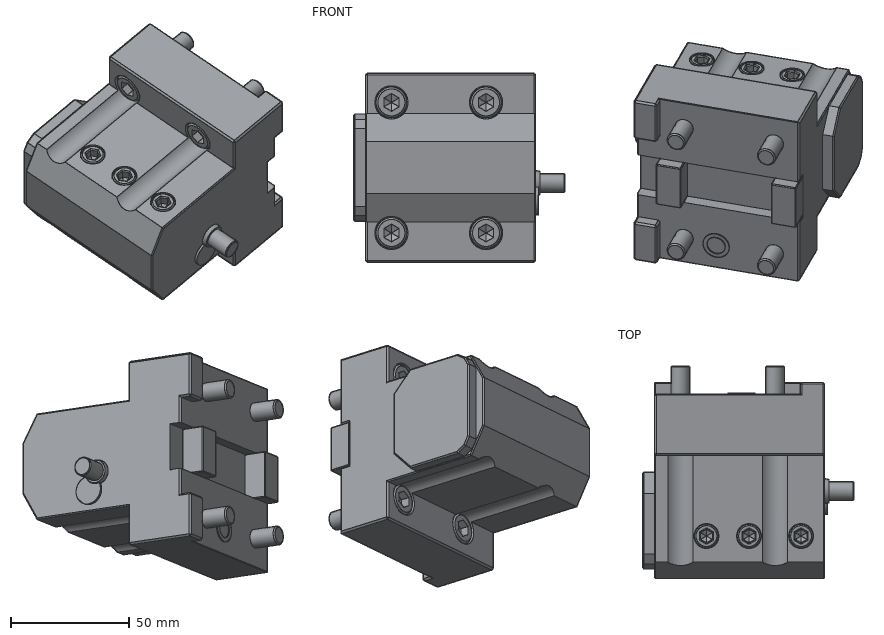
import cadquery as cq
import math

BODY_LENGTH = 72.0
BASE_HEIGHT = 80.0
BASE_FRONT = 52.0
SEAT = 78.0
LUG_REAR = 83.0
LUG_LENGTH = 10.3
LUG_HEIGHT = 19.0
EDGE_BREAK = 0.8
SEAT_BREAK = 0.3

BLOCK_HALF = 23.0
NOSE_HALF = 11.0
SLOPE_ANGLE = 60.0
NOSE_DEPTH = (BLOCK_HALF - NOSE_HALF) / math.tan(math.radians(SLOPE_ANGLE))
BLOCK_BREAK = 0.5

KEY_WIDTH = 20.0
KEY_LENGTH = 11.0
KEY_X = (0.0, 51.0)
SLOT_FLARE = 0.6
SLOT_FLOOR = 72.8
KEY_BREAK = 0.4

COVER_THICKNESS = 5.0
COVER_HALF = 22.7
COVER_FRONT = 4.0
COVER_REAR = 45.0
COVER_REAR_CORNER = 9.0
COVER_FACET_DROP = 6.2
COVER_MID_DROP = 2.4
COVER_CORNER_RUN = 6.3
COVER_EDGE_BREAK = 0.6

CAP_X = (11.0, 51.0)
CAP_Z = 27.6
COUNTERBORE_DIAMETER = 14.0
HEAD_DIAMETER = 13.0
HEAD_HEIGHT = 8.0
HEAD_BREAK = 0.8
SHANK_DIAMETER = 8.0
SHANK_END = 90.0
SHANK_BREAK = 0.6
CAP_SOCKET_WIDTH = 6.5
CAP_SOCKET_DEPTH = 4.0

SET_X = (22.0, 40.0, 62.0)
SET_Y = 18.0
SET_HOLE_DIAMETER = 10.5
SET_HOLE_DEPTH = 10.0
SET_SCREW_DIAMETER = 10.0
SET_SCREW_BREAK = 0.6
SET_SOCKET_WIDTH = 5.0
SET_SOCKET_MOUTH = 6.0
SET_SOCKET_DEPTH = 4.0

NOZZLE_Y = 37.0
NOZZLE_Z = -6.5
NOZZLE_DIAMETER = 8.0
NOZZLE_LENGTH = 12.34
NOZZLE_TIP_BREAK = 0.4
COLLAR_DIAMETER = 10.5
COLLAR_LENGTH = 1.9
DISC_Y = 33.1
DISC_Z = -14.0
DISC_DIAMETER = 12.0
DISC_THICKNESS = 1.1

SEAL_X = 36.8
SEAL_Z = -28.7
SEAL_OUTER = 11.6
SEAL_INNER = 8.0
SEAL_PROUD = 0.5


def block(x_range, y_range, z_range):
    """Box between the given limits."""
    size = [high - low for low, high in (x_range, y_range, z_range)]
    corner = (x_range[0], y_range[0], z_range[0])
    return cq.Workplane("XY").box(*size, centered=False).translate(corner)


def rod_y(x, z, diameter, y_start, y_end):
    """Cylinder along +Y."""
    plane = cq.Workplane(cq.Plane((x, y_start, z), (1, 0, 0), (0, 1, 0)))
    return plane.circle(diameter / 2).extrude(y_end - y_start)


def rod_x(y, z, diameter, length):
    """Cylinder growing in +X from the end face of the body."""
    plane = cq.Workplane("YZ", origin=(BODY_LENGTH, y, z))
    return plane.circle(diameter / 2).extrude(length)


def hex_socket(width, depth):
    """Socket cutter opening at the origin toward +Z, two corners along Y, with a pyramid bottom."""
    corner_radius = width / math.sqrt(3)
    tip = cq.Vector(0, 0, -depth - corner_radius / 2)
    rim = []
    for step in range(6):
        angle = math.radians(90 + 60 * step)
        rim.append(cq.Vector(corner_radius * math.cos(angle), corner_radius * math.sin(angle), -depth))
    lid = cq.Face.makeFromWires(cq.Wire.makePolygon(rim, close=True))
    faces = [lid]
    for first, second in zip(rim, rim[1:] + rim[:1]):
        faces.append(cq.Face.makeFromWires(cq.Wire.makePolygon([first, second, tip], close=True)))
    pyramid = cq.Solid.makeSolid(cq.Shell.makeShell(faces))
    prism = cq.Solid.extrudeLinear(lid, cq.Vector(0, 0, depth))
    return cq.Workplane(prism).union(cq.Workplane(pyramid))


def make_slot():
    """Cutter for the key slot, flared at 45 degrees where it leaves the -X end."""
    half = KEY_WIDTH / 2
    outline = [
        (0, half + SLOT_FLARE),
        (SLOT_FLARE, half),
        (BODY_LENGTH, half),
        (BODY_LENGTH, -half),
        (SLOT_FLARE, -half),
        (0, -half - SLOT_FLARE),
    ]
    sketch = cq.Workplane("XZ", origin=(0, LUG_REAR, 0)).polyline(outline).close()
    return sketch.extrude(LUG_REAR - SLOT_FLOOR)


def make_base():
    half = BASE_HEIGHT / 2
    lug_inner = half - LUG_HEIGHT
    lug_start = BODY_LENGTH - LUG_LENGTH
    stock = block((0, BODY_LENGTH), (BASE_FRONT, SEAT), (-half, half))
    stock = stock.edges(">Y and |Z").chamfer(EDGE_BREAK)
    stock = stock.edges(">Y and |X").chamfer(SEAT_BREAK)
    for z_range in ((-half, -lug_inner), (lug_inner, half)):
        lug = block((lug_start, BODY_LENGTH), (BASE_FRONT, LUG_REAR), z_range)
        stock = stock.union(lug.edges("|Y or >Y").chamfer(EDGE_BREAK))
    envelope = block((0, BODY_LENGTH), (BASE_FRONT, LUG_REAR), (-half, half))
    base = stock.intersect(envelope.edges().chamfer(EDGE_BREAK))
    return base.cut(make_slot())


def make_key(x_start):
    x_range = (x_start, x_start + KEY_LENGTH)
    key = block(x_range, (SLOT_FLOOR, LUG_REAR), (-KEY_WIDTH / 2, KEY_WIDTH / 2))
    return key.edges().chamfer(KEY_BREAK)


def make_clamping_block():
    outline = [
        (0, -NOSE_HALF),
        (NOSE_DEPTH, -BLOCK_HALF),
        (BASE_FRONT + EDGE_BREAK, -BLOCK_HALF),
        (BASE_FRONT + EDGE_BREAK, BLOCK_HALF),
        (NOSE_DEPTH, BLOCK_HALF),
        (0, NOSE_HALF),
    ]
    prism = cq.Workplane("YZ").polyline(outline).close().extrude(BODY_LENGTH)
    return prism.faces("<X or >X").edges("not >Y").chamfer(BLOCK_BREAK)


def make_cover():
    mid_run = (COVER_FACET_DROP - COVER_MID_DROP) / math.tan(math.radians(SLOPE_ANGLE))
    upper_half = [
        (COVER_REAR, COVER_HALF - COVER_REAR_CORNER),
        (COVER_REAR - COVER_REAR_CORNER, COVER_HALF),
        (COVER_FRONT + COVER_CORNER_RUN, COVER_HALF),
        (COVER_FRONT + mid_run, COVER_HALF - COVER_MID_DROP),
        (COVER_FRONT, COVER_HALF - COVER_FACET_DROP),
    ]
    lower_half = [(y, -z) for y, z in reversed(upper_half)]
    cover = cq.Workplane("YZ").polyline(upper_half + lower_half).close().extrude(-COVER_THICKNESS)
    return cover.faces("<X").edges().chamfer(COVER_EDGE_BREAK)


def counterbore(x, z):
    """Screw head recess in the base that also cuts an open trough along the block."""
    return rod_y(x, z, COUNTERBORE_DIAMETER, 0, BASE_FRONT + HEAD_HEIGHT)


def cap_screw(x, z):
    """Socket head cap screw with its head level with the front of the base."""
    head_end = BASE_FRONT + HEAD_HEIGHT
    head = rod_y(x, z, HEAD_DIAMETER, BASE_FRONT, head_end).faces("<Y").edges().chamfer(HEAD_BREAK)
    shank = rod_y(x, z, SHANK_DIAMETER, head_end, SHANK_END).faces(">Y").edges().chamfer(SHANK_BREAK)
    socket = hex_socket(CAP_SOCKET_WIDTH, CAP_SOCKET_DEPTH).rotate((0, 0, 0), (1, 0, 0), 90)
    return head.union(shank).cut(socket.translate((x, BASE_FRONT, z)))


def set_screw_hole(x):
    hole = cq.Workplane("XY", origin=(x, SET_Y, BLOCK_HALF)).circle(SET_HOLE_DIAMETER / 2)
    return hole.extrude(-SET_HOLE_DEPTH)


def set_screw(x):
    """Socket set screw level with the top face of the block."""
    blank = cq.Workplane("XY", origin=(x, SET_Y, BLOCK_HALF)).circle(SET_SCREW_DIAMETER / 2)
    screw = blank.extrude(-SET_HOLE_DEPTH).faces(">Z").edges().chamfer(SET_SCREW_BREAK)
    socket = hex_socket(SET_SOCKET_WIDTH, SET_SOCKET_DEPTH)
    lead_in_depth = (SET_SOCKET_MOUTH - SET_SOCKET_WIDTH) / 2
    mouth_diameter = 2 * SET_SOCKET_MOUTH / math.sqrt(3)
    lead_in = cq.Workplane("XY").polygon(6, mouth_diameter).extrude(-lead_in_depth, taper=45)
    socket = socket.union(lead_in.rotate((0, 0, 0), (0, 0, 1), 90))
    return screw.cut(socket.translate((x, SET_Y, BLOCK_HALF)))


def make_nozzle():
    tube = rod_x(NOZZLE_Y, NOZZLE_Z, NOZZLE_DIAMETER, NOZZLE_LENGTH)
    tube = tube.faces(">X").edges().chamfer(NOZZLE_TIP_BREAK)
    ball = cq.Workplane("YZ", origin=(BODY_LENGTH, NOZZLE_Y, NOZZLE_Z)).sphere(COLLAR_DIAMETER / 2)
    collar = ball.intersect(rod_x(NOZZLE_Y, NOZZLE_Z, COLLAR_DIAMETER, COLLAR_LENGTH))
    disc = rod_x(DISC_Y, DISC_Z, DISC_DIAMETER, DISC_THICKNESS)
    return tube.union(collar).union(disc)


def make_seal():
    ring = rod_y(SEAL_X, SEAL_Z, SEAL_OUTER, SEAT, SEAT + SEAL_PROUD)
    return ring.cut(rod_y(SEAL_X, SEAL_Z, SEAL_INNER, SEAT, SEAT + SEAL_PROUD))


body = make_base()
for part in (make_clamping_block(), make_cover(), make_nozzle(), make_seal()):
    body = body.union(part)
for x in KEY_X:
    body = body.union(make_key(x))

cap_places = [(x, z) for x in CAP_X for z in (-CAP_Z, CAP_Z)]
for x, z in cap_places:
    body = body.cut(counterbore(x, z)).union(cap_screw(x, z))
for x in SET_X:
    body = body.cut(set_screw_hole(x)).union(set_screw(x))

result = body